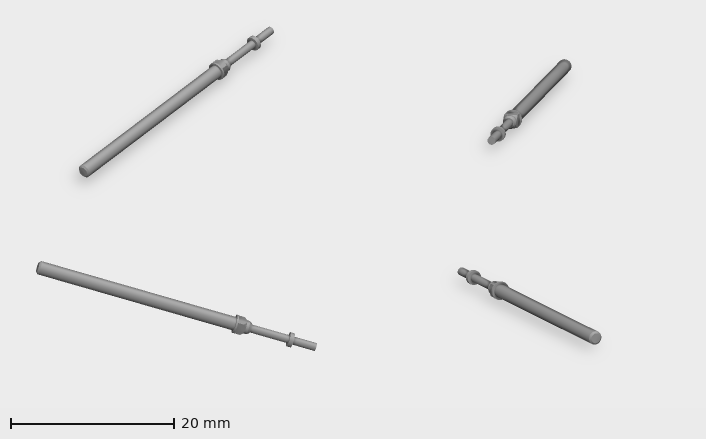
import cadquery as cq

total_length = 36.0

barrel_radius = 0.845
barrel_end_chamfer = 0.2

flange_radius = 1.15
flange_thickness = 0.2
flange_top = 25.7

square_side = 2 * barrel_radius
square_length = 1.15
square_corner_rise = 0.32

head_length = 0.7
head_shoulder_length = 0.32
head_shoulder_radius = 0.65

plunger_radius = 0.5
collar_radius = 0.9
collar_thickness = 0.55
collar_to_tip = 3.0

square_top = flange_top + square_length
head_top = square_top + head_length


def disc(radius, start, end):
    """Cylinder around the Y axis from Y = start to Y = end."""
    axis = cq.Vector(0, 1, 0)
    return cq.Workplane(cq.Solid.makeCylinder(radius, end - start, cq.Vector(0, start, 0), axis))


def revolve_about_y(outline):
    """Solid of revolution around the Y axis from (radius, Y) points."""
    return cq.Workplane("XY").polyline(outline).close().revolve(360, (0, 0, 0), (0, 1, 0))


def make_barrel():
    return disc(barrel_radius, 0, flange_top).faces("<Y").chamfer(barrel_end_chamfer)


def make_square():
    """Square block whose upper corners are turned down to a cone ending at the head radius."""
    block = cq.Workplane("XY").box(square_side, square_length, square_side)
    block = block.translate((0, flange_top + square_length / 2, 0))
    turned_envelope = revolve_about_y([
        (0, flange_top),
        (flange_radius, flange_top),
        (flange_radius, square_top - square_corner_rise),
        (barrel_radius, square_top),
        (0, square_top),
    ])
    return block.intersect(turned_envelope)


def make_head():
    """Round head that tapers at its top to a shoulder around the plunger."""
    shoulder_start = head_top - head_shoulder_length
    return revolve_about_y([
        (0, square_top),
        (barrel_radius, square_top),
        (barrel_radius, shoulder_start),
        (head_shoulder_radius, head_top),
        (0, head_top),
    ])


def make_plunger():
    collar_top = total_length - collar_to_tip
    collar = disc(collar_radius, collar_top - collar_thickness, collar_top)
    return disc(plunger_radius, square_top, total_length).union(collar)


flange = disc(flange_radius, flange_top - flange_thickness, flange_top)

result = make_barrel().union(flange).union(make_square()).union(make_head()).union(make_plunger())